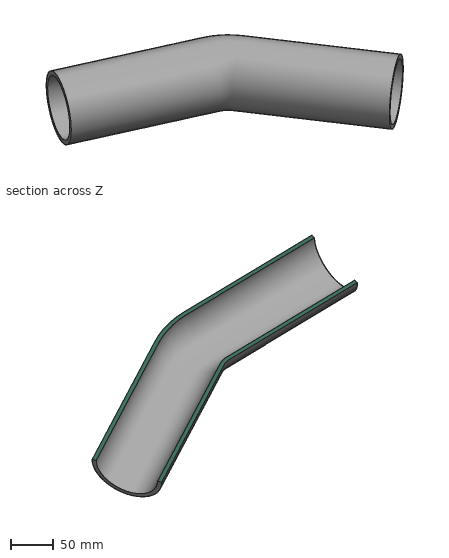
import cadquery as cq
import math

outer_diameter = 90.0
bore_diameter = 79.0
bend_angle = 30
bend_radius = 63.8
overall_length = 411.5

angle = math.radians(bend_angle)
bend_rise = bend_radius * math.sin(angle)
end_overhang = outer_diameter / 2 * math.sin(angle)
leg_length = (overall_length - bend_rise - end_overhang) / (1 + math.cos(angle))

bend_start = (0, leg_length)


def on_bend(turn):
    """Centreline point after turning the given angle (radians) toward +X."""
    return (
        bend_radius * (1 - math.cos(turn)),
        leg_length + bend_radius * math.sin(turn),
    )


bend_end = on_bend(angle)
far_end = (
    bend_end[0] + leg_length * math.sin(angle),
    bend_end[1] + leg_length * math.cos(angle),
)

centreline = (
    cq.Workplane("XY")
    .moveTo(0, 0)
    .lineTo(*bend_start)
    .threePointArc(on_bend(angle / 2), bend_end)
    .lineTo(*far_end)
)

result = (
    cq.Workplane("XZ")
    .circle(outer_diameter / 2)
    .circle(bore_diameter / 2)
    .sweep(centreline)
)